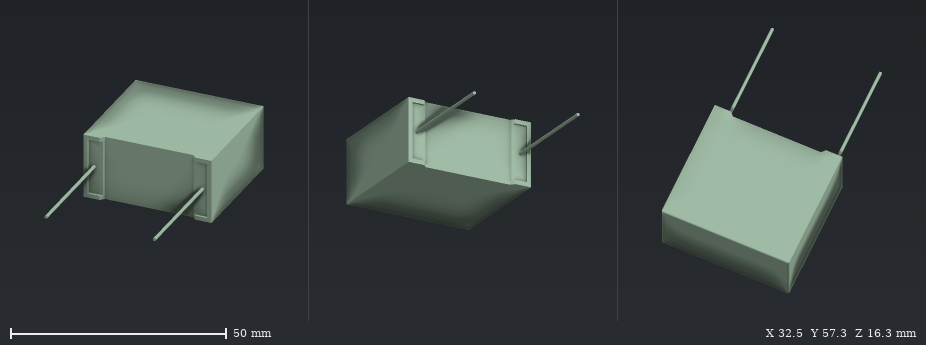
import cadquery as cq

case_width = 32.5
case_height = 16.3
total_length = 57.3
case_depth = 30.25
back_edge_radius = 0.5

foot_width = 4.1
recess_depth = 1.0
slope_run = 0.9

wall = 1.1
window_width = 3.6
web_thickness = wall
window_height = case_height - 2 * wall
window_offset = case_width / 2 - wall - window_width / 2
potting_depth = (wall + window_width - foot_width) * recess_depth / slope_run

lead_diameter = 0.8
lead_pitch = 27.5
lead_length = total_length - case_depth + potting_depth


def block(width, height, front, back, center_x=0):
    """Box centred on Z that runs from Y = front to Y = back."""
    return (
        cq.Workplane("XY")
        .box(width, back - front, height, centered=(True, False, True))
        .translate((center_x, front, 0))
    )


def make_potting():
    """Filling of the case, reaching forward through both foot windows."""
    core_front = recess_depth + web_thickness
    core_back = case_depth - wall
    potting = block(case_width - 2 * wall, window_height, core_front, core_back)
    for side in (-1, 1):
        pad = block(window_width, window_height, potting_depth, core_front, side * window_offset)
        potting = potting.union(pad)
    return potting


def make_case(potting):
    """Closed-back case with two front feet, hollowed out to fit the potting."""
    case = block(case_width, case_height, 0, case_depth)
    case = case.faces(">Y").edges().fillet(back_edge_radius)

    recess_half = case_width / 2 - foot_width
    floor_half = recess_half - slope_run
    recess = (
        cq.Workplane("XY")
        .polyline([
            (-recess_half, 0),
            (recess_half, 0),
            (floor_half, recess_depth),
            (-floor_half, recess_depth),
        ])
        .close()
        .extrude(case_height / 2, both=True)
    )
    case = case.cut(recess)

    for side in (-1, 1):
        window = block(window_width, window_height, 0, potting_depth, side * window_offset)
        case = case.cut(window)
    return case.cut(potting)


def make_lead(center_x):
    """Straight round wire that starts on the potting and points to -Y."""
    return (
        cq.Workplane("XZ", origin=(center_x, potting_depth, 0))
        .circle(lead_diameter / 2)
        .extrude(lead_length)
    )


potting = make_potting()
case = make_case(potting)
leads = [make_lead(side * lead_pitch / 2) for side in (-1, 1)]

result = cq.Compound.makeCompound([case.val(), potting.val(), *[lead.val() for lead in leads]])